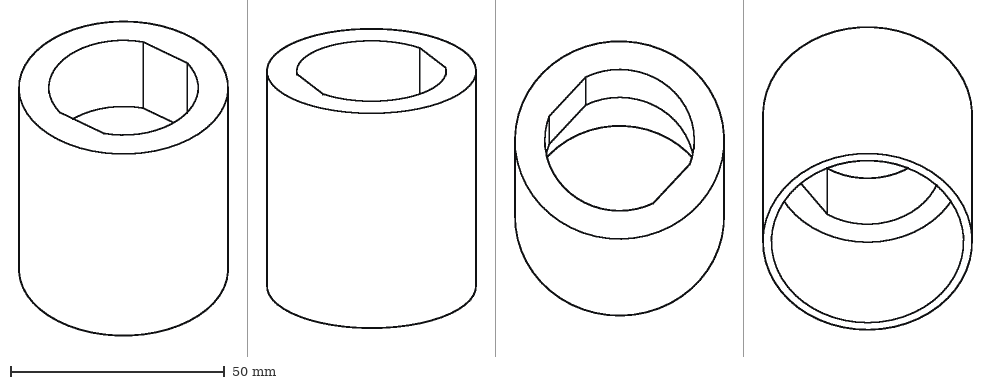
import cadquery as cq

height = 55.0
outer_diameter = 49.0

bore_diameter = 35.0
across_flats = 32.5
bore_depth = 20.0

lower_bore_diameter = 45.0
lower_bore_depth = height - bore_depth


def cylinder(diameter, length):
    return cq.Workplane("XY").circle(diameter / 2).extrude(length)


def flatted_bore():
    """Full-height round bore trimmed to the distance across its flats."""
    between_flats = cq.Workplane("XY").rect(bore_diameter, across_flats).extrude(height)
    return cylinder(bore_diameter, height).intersect(between_flats)


body = cylinder(outer_diameter, height)
lower_bore = cylinder(lower_bore_diameter, lower_bore_depth)
result = body.cut(flatted_bore()).cut(lower_bore)